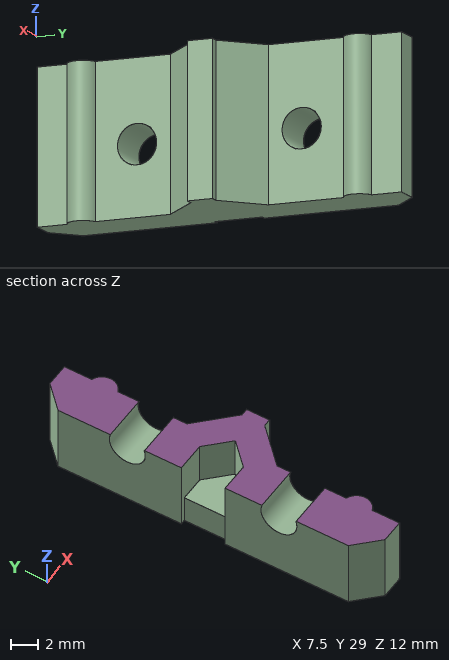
import cadquery as cq

plate_length = 29.0
plate_height = 12.0
plate_thickness = 3.95
end_chamfer = 1.95

total_depth = 7.5
keel_half_width = 3.9
nose_half_width = 1.0
keel_end_x = plate_thickness + keel_half_width - nose_half_width

ridge_y = 11.0
ridge_radius = 1.2
ridge_height = 0.8

hole_diameter = 3.1
hole_y = 6.55
hole_z = 5.5

pocket_width = 3.75
pocket_floor_z = 2.45
pocket_top_z = 9.5
pocket_wall_depth = 2.5
entry_depth = 0.4


def make_body():
    """Plate and keel as one profile extruded along Z."""
    half_length = plate_length / 2
    upper_half = [
        (total_depth, nose_half_width),
        (keel_end_x, nose_half_width),
        (plate_thickness, keel_half_width),
        (plate_thickness, half_length),
        (end_chamfer, half_length),
        (0, half_length - end_chamfer),
    ]
    lower_half = [(x, -y) for x, y in reversed(upper_half)]
    return cq.Workplane("XY").polyline(upper_half + lower_half).close().extrude(plate_height)


def make_ridges():
    """Two cylinders partly sunk into the +X face."""
    ridge_x = plate_thickness + ridge_height - ridge_radius
    centers = [(ridge_x, -ridge_y), (ridge_x, ridge_y)]
    return cq.Workplane("XY").pushPoints(centers).circle(ridge_radius).extrude(plate_height)


def make_holes():
    """Cylinders along X through the plate."""
    centers = [(-hole_y, hole_z), (hole_y, hole_z)]
    return cq.Workplane("YZ").pushPoints(centers).circle(hole_diameter / 2).extrude(total_depth)


def make_pocket():
    """Pocket with a V-shaped back, and the shallow entry that opens it to the bottom face."""
    half_width = pocket_width / 2
    pocket_apex_x = pocket_wall_depth + half_width
    pocket = (
        cq.Workplane("XY")
        .workplane(offset=pocket_floor_z)
        .moveTo(0, -half_width)
        .lineTo(pocket_wall_depth, -half_width)
        .lineTo(pocket_apex_x, 0)
        .lineTo(pocket_wall_depth, half_width)
        .lineTo(0, half_width)
        .close()
        .extrude(pocket_top_z - pocket_floor_z)
    )
    entry = cq.Workplane("XY").box(
        entry_depth, pocket_width, pocket_top_z, centered=(False, True, False)
    )
    return pocket.union(entry)


result = make_body().union(make_ridges()).cut(make_holes()).cut(make_pocket())